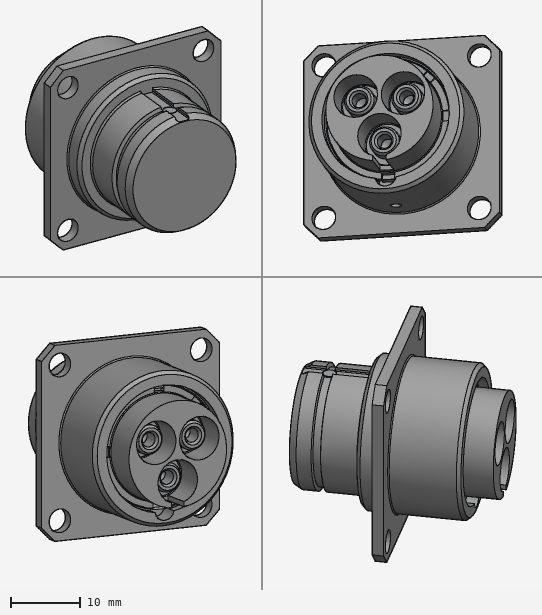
import cadquery as cq
import math

TOTAL_LENGTH = 30.0
SHELL_START = 4.15
FLANGE_START = 14.82
FLANGE_THICKNESS = 1.7
FLANGE_END = FLANGE_START + FLANGE_THICKNESS
SHELL_END = 19.53
GROOVE_START = 25.23
GROOVE_END = 26.65
NOSE_TAPER_START = 28.85

SHELL_RADIUS = 11.5
SHELL_EDGE_RADIUS = 10.98
SHELL_CHAMFER_LENGTH = 0.57
FLANGE_ROOT_RADIUS = 11.7
FLANGE_ROOT_LENGTH = 0.18
BORE_RADIUS = 9.42
SEAT_RADIUS = 9.18
BORE_DEPTH = 1.5
SEAT_DEPTH = 2.7
SEAT_FLOOR = SHELL_START + SEAT_DEPTH

NOSE_RADIUS = 9.4
NOSE_ROOT_RADIUS = 9.57
NOSE_ROOT_LENGTH = 0.35
NOSE_TIP_RADIUS = 8.75
GROOVE_FLOOR_RADIUS = 8.75
GROOVE_WALL_SLOPE = 0.15

KEYWAY_WIDTH = 2.07
KEYWAY_CORNER_CHAMFER = 0.15
KEYWAY_FLOOR = 8.82
PAD_RADIUS = 1.02
PAD_TOP = 8.88

FLANGE_SIDE = 29.0
FLANGE_CORNER_CHAMFER = 2.2
MOUNT_HOLE_SPACING = 23.05
MOUNT_HOLE_DIAMETER = 3.48

INSERT_RADIUS = 7.95
INSERT_ROOT_CHAMFER = 0.15
INSERT_ROOT_RADIUS = INSERT_RADIUS + INSERT_ROOT_CHAMFER
INSERT_COLLAR_RADIUS = 9.05
INSERT_COLLAR_FACE = 5.82

CONTACT_CIRCLE_RADIUS = 4.05
UPPER_CONTACT_ANGLES = (30, 150)
LOWER_CONTACT_ANGLE = 270
CAVITY_RADIUS = 3.2
CAVITY_FLOOR_CHAMFER = 0.15
CAVITY_DEPTH = 5.1
CONTACT_RADIUS = 2.2
CONTACT_TIP_RADIUS = 1.85
CONTACT_TIP_LENGTH = 0.45
UPPER_CONTACT_FACE = 1.92
LOWER_CONTACT_FACE = 2.95
CUP_MOUTH_RADIUS = 1.38
CUP_RADIUS = 1.05
CUP_MOUTH_LENGTH = 0.45
CUP_DEPTH = 3.0
CUP_POINT_HALF_ANGLE = 59
CUP_POINT_LENGTH = CUP_RADIUS / math.tan(math.radians(CUP_POINT_HALF_ANGLE))

INSERT_SLOT_WIDTH = 1.98
INSERT_SLOT_DEPTH = 4.95
INSERT_SLOT_TOP = -CONTACT_CIRCLE_RADIUS - CONTACT_RADIUS
RAMP_LENGTH = 1.2
RAMP_BEND_LENGTH = 0.6
RAMP_BEND_RADIUS = 8.97

NOTCH_WIDTH = 1.6
NOTCH_INNER_RADIUS = INSERT_ROOT_RADIUS
SHALLOW_NOTCH_ANGLES = (0, 45, 180)
SHALLOW_NOTCH_DEPTH = 0.3
TOP_NOTCH_DEPTH = 1.2
LATCH_WIDTH = 1.32
LATCH_INNER_RADIUS = 8.67

RECESS_RADIUS = 1.55
RECESS_CENTER_Z = -9.0
RECESS_DEPTH = 3.0
RADIAL_HOLE_DIAMETER = 1.55
RADIAL_HOLE_X = 11.15


def revolve_profile(points):
    """Revolve (x, radius) points about the X axis."""
    return cq.Workplane("XY").polyline(points).close().revolve(360, (0, 0, 0), (1, 0, 0))


def cylinder_x(radius, start, length):
    return cq.Workplane("YZ", origin=(start, 0, 0)).circle(radius).extrude(length)


def box_between(start, end):
    """Axis-aligned box between two opposite corners."""
    size = [b - a for a, b in zip(start, end)]
    return cq.Workplane("XY").box(*size, centered=False).translate(start)


def make_shell():
    return revolve_profile([
        (SHELL_START, 0),
        (SHELL_START, SHELL_EDGE_RADIUS),
        (SHELL_START + SHELL_CHAMFER_LENGTH, SHELL_RADIUS),
        (FLANGE_START - FLANGE_ROOT_LENGTH, SHELL_RADIUS),
        (FLANGE_START, FLANGE_ROOT_RADIUS),
        (FLANGE_END, FLANGE_ROOT_RADIUS),
        (FLANGE_END + FLANGE_ROOT_LENGTH, SHELL_RADIUS),
        (SHELL_END - SHELL_CHAMFER_LENGTH, SHELL_RADIUS),
        (SHELL_END, SHELL_EDGE_RADIUS),
        (SHELL_END, NOSE_ROOT_RADIUS),
        (SHELL_END + NOSE_ROOT_LENGTH, NOSE_RADIUS),
        (GROOVE_START, NOSE_RADIUS),
        (GROOVE_START + GROOVE_WALL_SLOPE, GROOVE_FLOOR_RADIUS),
        (GROOVE_END - GROOVE_WALL_SLOPE, GROOVE_FLOOR_RADIUS),
        (GROOVE_END, NOSE_RADIUS),
        (NOSE_TAPER_START, NOSE_RADIUS),
        (TOTAL_LENGTH, NOSE_TIP_RADIUS),
        (TOTAL_LENGTH, 0),
    ])


def make_flange():
    return (
        cq.Workplane("YZ", origin=(FLANGE_START, 0, 0))
        .rect(FLANGE_SIDE, FLANGE_SIDE)
        .extrude(FLANGE_THICKNESS)
        .edges("|X")
        .chamfer(FLANGE_CORNER_CHAMFER)
        .faces("<X")
        .workplane(origin=(FLANGE_START, 0, 0))
        .rect(MOUNT_HOLE_SPACING, MOUNT_HOLE_SPACING, forConstruction=True)
        .vertices()
        .hole(MOUNT_HOLE_DIAMETER)
    )


def cut_keyway(body):
    half = KEYWAY_WIDTH / 2
    keyway = box_between(
        (SHELL_END, -half, KEYWAY_FLOOR), (TOTAL_LENGTH, half, NOSE_ROOT_RADIUS)
    ).edges("|X and <Z").chamfer(KEYWAY_CORNER_CHAMFER)
    pad_x = (GROOVE_START + GROOVE_END) / 2
    clearance, pad = (
        cq.Workplane("XY", origin=(pad_x, 0, 0)).circle(PAD_RADIUS).extrude(height)
        for height in (NOSE_RADIUS, PAD_TOP)
    )
    return body.cut(keyway).cut(clearance).union(pad)


def cut_bore(body):
    bore = cylinder_x(BORE_RADIUS, SHELL_START, BORE_DEPTH)
    seat = cylinder_x(SEAT_RADIUS, SHELL_START, SEAT_DEPTH)
    recess = cylinder_x(RECESS_RADIUS, SHELL_START, RECESS_DEPTH).translate((0, 0, RECESS_CENTER_Z))
    radial_hole = (
        cq.Workplane("XY", origin=(RADIAL_HOLE_X, 0, -BORE_RADIUS))
        .circle(RADIAL_HOLE_DIAMETER / 2)
        .extrude(BORE_RADIUS - FLANGE_ROOT_RADIUS)
    )
    return body.cut(bore).cut(seat).cut(recess).cut(radial_hole)


def collar_notch(angle, width, inner_radius, depth):
    """Block for a notch in the insert collar, its flat inner side square to the given angle."""
    block = box_between(
        (INSERT_COLLAR_FACE, inner_radius, -width / 2),
        (INSERT_COLLAR_FACE + depth, SEAT_RADIUS, width / 2),
    )
    return block.rotate((0, 0, 0), (1, 0, 0), angle)


def make_insert():
    insert = revolve_profile([
        (0, 0),
        (0, INSERT_RADIUS),
        (INSERT_COLLAR_FACE - INSERT_ROOT_CHAMFER, INSERT_RADIUS),
        (INSERT_COLLAR_FACE, INSERT_ROOT_RADIUS),
        (INSERT_COLLAR_FACE, INSERT_COLLAR_RADIUS),
        (SEAT_FLOOR, INSERT_COLLAR_RADIUS),
        (SEAT_FLOOR, 0),
    ])
    for angle in SHALLOW_NOTCH_ANGLES:
        insert = insert.cut(
            collar_notch(180 - angle, NOTCH_WIDTH, NOTCH_INNER_RADIUS, SHALLOW_NOTCH_DEPTH)
        )
    insert = insert.cut(collar_notch(90, NOTCH_WIDTH, NOTCH_INNER_RADIUS, TOP_NOTCH_DEPTH))

    half_slot = INSERT_SLOT_WIDTH / 2
    slot = box_between(
        (0, -half_slot, -SEAT_RADIUS), (INSERT_SLOT_DEPTH, half_slot, INSERT_SLOT_TOP)
    )
    collar_slot = box_between(
        (INSERT_SLOT_DEPTH, -half_slot, -SEAT_RADIUS), (SEAT_FLOOR, half_slot, -INSERT_ROOT_RADIUS)
    )
    return insert.cut(slot).cut(collar_slot)


def make_latch():
    return collar_notch(90, LATCH_WIDTH, LATCH_INNER_RADIUS, TOP_NOTCH_DEPTH)


def make_ramp():
    """Two-slope block closing the bottom of the collar slot."""
    return (
        cq.Workplane("XZ")
        .polyline([
            (SEAT_FLOOR, -INSERT_ROOT_RADIUS),
            (SEAT_FLOOR - RAMP_BEND_LENGTH, -RAMP_BEND_RADIUS),
            (SEAT_FLOOR - RAMP_LENGTH, -SEAT_RADIUS),
            (SEAT_FLOOR, -SEAT_RADIUS),
        ])
        .close()
        .extrude(INSERT_SLOT_WIDTH / 2, both=True)
    )


def contact_cavity(contact_face):
    """Round cavity with a solder-cup contact left standing on its floor."""
    cup_floor = contact_face + CUP_DEPTH
    return revolve_profile([
        (0, CAVITY_RADIUS),
        (CAVITY_DEPTH - CAVITY_FLOOR_CHAMFER, CAVITY_RADIUS),
        (CAVITY_DEPTH, CAVITY_RADIUS - CAVITY_FLOOR_CHAMFER),
        (CAVITY_DEPTH, CONTACT_RADIUS),
        (contact_face + CONTACT_TIP_LENGTH, CONTACT_RADIUS),
        (contact_face, CONTACT_TIP_RADIUS),
        (contact_face, CUP_MOUTH_RADIUS),
        (contact_face + CUP_MOUTH_LENGTH, CUP_RADIUS),
        (cup_floor, CUP_RADIUS),
        (cup_floor + CUP_POINT_LENGTH, 0),
        (0, 0),
    ])


def cut_contact(body, angle, contact_face):
    """Cut one cavity at the given angle around the contact circle."""
    center_y = CONTACT_CIRCLE_RADIUS * math.cos(math.radians(angle))
    center_z = CONTACT_CIRCLE_RADIUS * math.sin(math.radians(angle))
    return body.cut(contact_cavity(contact_face).translate((0, center_y, center_z)))


body = make_shell().union(make_flange())
body = cut_keyway(body)
body = cut_bore(body)
body = body.union(make_insert()).union(make_latch()).union(make_ramp())
for contact_angle in UPPER_CONTACT_ANGLES:
    body = cut_contact(body, contact_angle, UPPER_CONTACT_FACE)
result = cut_contact(body, LOWER_CONTACT_ANGLE, LOWER_CONTACT_FACE)